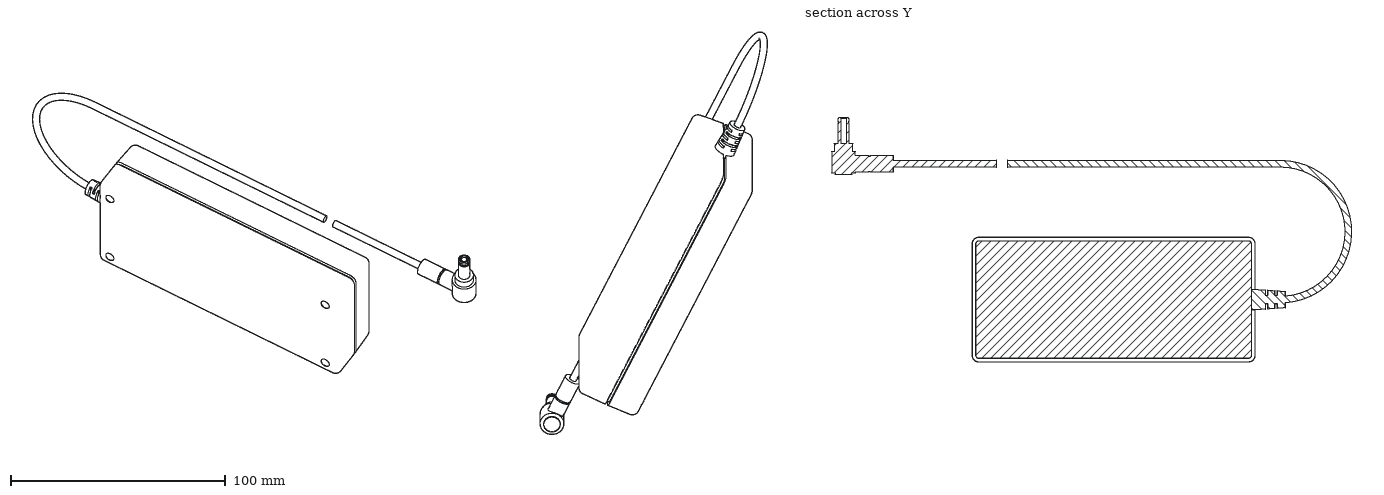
import cadquery as cq


BRICK_LENGTH = 132.0
BRICK_HEIGHT = 58.2
BRICK_DEPTH = 30.5
BRICK_FILLET = 3.2
BACK_DRAFT = 2.0
FRONT_DRAFT = 0
SEAM_WIDTH = 1.5
SEAM_DEPTH = 1.7

FOOT_RADIUS = 2.2
FOOT_HEIGHT = 0.7
FOOT_FILLET = 0.68
FOOT_PITCH_X = 118.5
FOOT_PITCH_Z = 43.7

CABLE_RADIUS = 1.7
CORD_LEFT_X = -111.1
CORD_END_X = 49.5
CABLE_Z = 63.3

RELIEF_LENGTH = 14.0
RELIEF_TIP_RADIUS = 4.0
RELIEF_BASE_RADIUS = 4.9
RELIEF_SLOT_COUNT = 5
RELIEF_SLOT_WIDTH = 1.0
RELIEF_SLOT_PITCH = 2.2
RELIEF_FIRST_SLOT = 2.2
RELIEF_WEB = 4.0

TAIL_START_X = 54.5
SLEEVE_START_X = 102.6
SLEEVE_LENGTH = 11.0
SLEEVE_RADIUS = 4.0
SLEEVE_GROOVE_WIDTH = 0.7
SLEEVE_GROOVE_DEPTH = 0.2
PLUG_X = 126.0
PLUG_BASE_Z = 58.2
BUTTON_RADIUS = 4.0
BUTTON_HEIGHT = 0.7
HEAD_RADIUS = 5.5
HEAD_HEIGHT = 10.2
COLLAR_RADIUS = 4.4
COLLAR_HEIGHT = 3.6
BARREL_RADIUS = 2.7
BARREL_LENGTH = 12.1
BARREL_CHAMFER = 0.5
BORE_RADIUS = 1.2
TIP_GROOVE_DEPTH = 0.2
TIP_GROOVE_WIDTH = 0.7
TIP_RING_HEIGHT = 2.0

BRICK_LEFT_X = -BRICK_LENGTH / 2
BEND_RADIUS = CABLE_Z / 2
BEND_CENTRE_X = CORD_LEFT_X + CABLE_RADIUS + BEND_RADIUS
RELIEF_TIP_X = BRICK_LEFT_X - RELIEF_LENGTH


def rod(radius, start_x, end_x, z):
    """Round bar along X."""
    return cq.Workplane("YZ", origin=(start_x, 0, z)).circle(radius).extrude(end_x - start_x)


def shell(direction, draft):
    """Half of the brick, from the seam to its +Y (1) or -Y (-1) face, with rounded outer edges."""
    seam_face = "<Y" if direction > 0 else ">Y"
    body = (
        cq.Workplane("XZ")
        .rect(BRICK_LENGTH, BRICK_HEIGHT)
        .extrude(-direction * BRICK_DEPTH / 2, taper=draft)
    )
    return body.edges(f"not {seam_face}").fillet(BRICK_FILLET)


def seam_groove():
    """Ring to remove around the seam."""
    plane = cq.Workplane("XZ", origin=(0, SEAM_WIDTH / 2, 0))
    outer = plane.rect(BRICK_LENGTH, BRICK_HEIGHT).extrude(SEAM_WIDTH)
    core = (
        plane.rect(BRICK_LENGTH - 2 * SEAM_DEPTH, BRICK_HEIGHT - 2 * SEAM_DEPTH)
        .extrude(SEAM_WIDTH)
        .edges("|Y")
        .fillet(BRICK_FILLET - SEAM_DEPTH)
    )
    return outer.cut(core)


def relief_spigot():
    """End of the strain relief inside the brick, as deep as the seam groove and matching its socket."""
    return rod(RELIEF_BASE_RADIUS, BRICK_LEFT_X, BRICK_LEFT_X + SEAM_DEPTH, 0)


def foot(x, z):
    """Low round pad standing on the -Y face."""
    pad = cq.Workplane("XZ", origin=(x, -BRICK_DEPTH / 2, z)).circle(FOOT_RADIUS).extrude(FOOT_HEIGHT)
    return pad.faces("<Y").edges().fillet(FOOT_FILLET)


def make_brick():
    brick = shell(1, BACK_DRAFT).union(shell(-1, FRONT_DRAFT))
    brick = brick.cut(seam_groove()).cut(relief_spigot())
    for x in (-FOOT_PITCH_X / 2, FOOT_PITCH_X / 2):
        for z in (-FOOT_PITCH_Z / 2, FOOT_PITCH_Z / 2):
            brick = brick.union(foot(x, z))
    return brick


def strain_relief():
    """Tapered sleeve with pairs of slots, cut alternately from the Y and the Z sides."""
    cone = cq.Solid.makeCone(
        RELIEF_TIP_RADIUS,
        RELIEF_BASE_RADIUS,
        RELIEF_LENGTH,
        cq.Vector(RELIEF_TIP_X, 0, 0),
        cq.Vector(1, 0, 0),
    )
    relief = cq.Workplane(cone)
    cutter_size = 2 * RELIEF_BASE_RADIUS
    cutter = cq.Workplane().box(RELIEF_SLOT_WIDTH, cutter_size, cutter_size)
    cutter_offset = (RELIEF_WEB + cutter_size) / 2
    for i in range(RELIEF_SLOT_COUNT):
        x = RELIEF_TIP_X + RELIEF_FIRST_SLOT + i * RELIEF_SLOT_PITCH
        for side in (-cutter_offset, cutter_offset):
            place = (x, side, 0) if i % 2 == 0 else (x, 0, side)
            relief = relief.cut(cutter.translate(place))
    return relief


def make_cord():
    path = (
        cq.Workplane("XZ")
        .moveTo(BRICK_LEFT_X, 0)
        .lineTo(BEND_CENTRE_X, 0)
        .threePointArc((BEND_CENTRE_X - BEND_RADIUS, BEND_RADIUS), (BEND_CENTRE_X, CABLE_Z))
        .lineTo(CORD_END_X, CABLE_Z)
    )
    cable = cq.Workplane("YZ", origin=(BRICK_LEFT_X, 0, 0)).circle(CABLE_RADIUS).sweep(path)
    return cable.union(strain_relief()).union(relief_spigot())


def plug_upright():
    """Turned part of the plug: base button, head, collar and bored barrel."""
    head_base = PLUG_BASE_Z + BUTTON_HEIGHT
    collar_base = head_base + HEAD_HEIGHT
    barrel_base = collar_base + COLLAR_HEIGHT
    tip = barrel_base + BARREL_LENGTH
    ring_base = tip - TIP_RING_HEIGHT
    groove_base = ring_base - TIP_GROOVE_WIDTH
    profile = [
        (0, PLUG_BASE_Z),
        (BUTTON_RADIUS, PLUG_BASE_Z),
        (BUTTON_RADIUS, head_base),
        (HEAD_RADIUS, head_base),
        (HEAD_RADIUS, collar_base),
        (COLLAR_RADIUS, collar_base),
        (COLLAR_RADIUS, barrel_base),
        (BARREL_RADIUS, barrel_base),
        (BARREL_RADIUS, groove_base),
        (BARREL_RADIUS - TIP_GROOVE_DEPTH, groove_base),
        (BARREL_RADIUS - TIP_GROOVE_DEPTH, ring_base),
        (BARREL_RADIUS, ring_base),
        (BARREL_RADIUS, tip - BARREL_CHAMFER),
        (BARREL_RADIUS - BARREL_CHAMFER, tip),
        (BORE_RADIUS + BARREL_CHAMFER, tip),
        (BORE_RADIUS, tip - BARREL_CHAMFER),
        (BORE_RADIUS, barrel_base),
        (0, barrel_base),
    ]
    return cq.Workplane("XZ").polyline(profile).close().revolve().translate((PLUG_X, 0, 0))


def make_plug():
    sleeve_end = SLEEVE_START_X + SLEEVE_LENGTH
    neck_start = sleeve_end + SLEEVE_GROOVE_WIDTH
    tail = rod(CABLE_RADIUS, TAIL_START_X, SLEEVE_START_X, CABLE_Z)
    sleeve = rod(SLEEVE_RADIUS, SLEEVE_START_X, sleeve_end, CABLE_Z)
    groove_floor = rod(SLEEVE_RADIUS - SLEEVE_GROOVE_DEPTH, sleeve_end, neck_start, CABLE_Z)
    neck = rod(SLEEVE_RADIUS, neck_start, PLUG_X, CABLE_Z)
    return plug_upright().union(neck).union(groove_floor).union(sleeve).union(tail)


brick = make_brick()
cord = make_cord()
plug = make_plug()

result = cq.Compound.makeCompound([brick.val(), cord.val(), plug.val()])